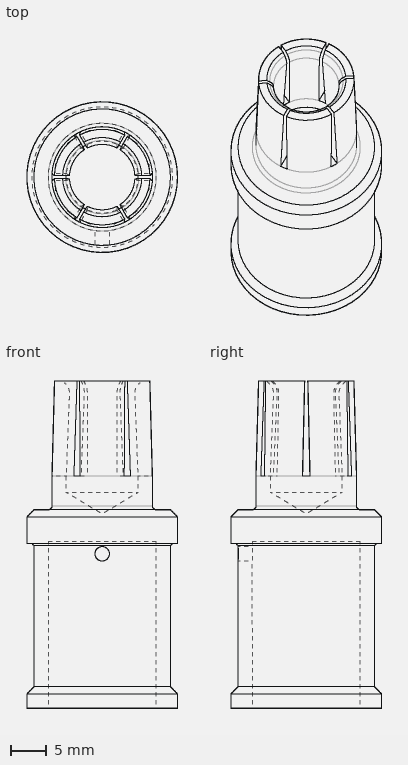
import cadquery as cq
import math

total_height = 45.5
chamfer = 1.0
base_rim_height = 2.0
collar_bottom = 22.9
shoulder_top = 27.6
slot_floor = 32.3

rim_radius = 10.49
body_radius = 9.5
stem_radius = 7.0
tip_radius = 6.65
root_fillet = 0.5
collar_relief = 0.27

socket_radius = 5.0
socket_floor = 30.05
drill_angle = 118.0
throat_radius = 4.55
throat_level = 43.8
lip_radius = 5.1
mouth_chamfer = 0.4

slot_count = 6
slot_width_tip = 0.4
slot_width_root = 1.0

wire_bore_radius = 7.5
wire_bore_depth = 23.2
inspection_diameter = 2.0
inspection_level = 21.48


def make_outside():
    """Turned body with a base rim, a collar and a tapered stem."""
    profile = (
        cq.Workplane("XZ")
        .lineTo(rim_radius, 0)
        .lineTo(rim_radius, base_rim_height)
        .lineTo(body_radius, base_rim_height + chamfer)
        .lineTo(body_radius, collar_bottom - collar_relief)
        .lineTo(body_radius + collar_relief, collar_bottom)
        .lineTo(rim_radius, collar_bottom)
        .lineTo(rim_radius, shoulder_top - chamfer)
        .lineTo(rim_radius - chamfer, shoulder_top)
        .lineTo(stem_radius + root_fillet, shoulder_top)
        .radiusArc((stem_radius, shoulder_top + root_fillet), root_fillet)
        .lineTo(stem_radius, slot_floor)
        .lineTo(tip_radius, total_height)
        .lineTo(0, total_height)
        .close()
    )
    return profile.revolve(360, (0, 0), (0, 1))


def make_socket():
    """Drilled socket that narrows to a rounded throat and flares at the mouth."""
    cone_depth = socket_radius / math.tan(math.radians(drill_angle / 2))
    lip_level = total_height - mouth_chamfer
    rise = lip_level - throat_level
    flare = lip_radius - throat_radius
    lip_arc_radius = (rise**2 + flare**2) / (2 * flare)
    profile = (
        cq.Workplane("XZ")
        .moveTo(0, socket_floor - cone_depth)
        .lineTo(socket_radius, socket_floor)
        .lineTo(socket_radius, slot_floor)
        .lineTo(throat_radius, throat_level)
        .radiusArc((lip_radius, lip_level), lip_arc_radius)
        .lineTo(lip_radius + mouth_chamfer, total_height)
        .lineTo(0, total_height)
        .close()
    )
    return profile.revolve(360, (0, 0), (0, 1))


def make_slot(angle):
    """Wedge across the full stem, so one wedge opens two opposite slots."""
    wedge = (
        cq.Workplane("YZ")
        .moveTo(-slot_width_root / 2, slot_floor)
        .lineTo(slot_width_root / 2, slot_floor)
        .lineTo(slot_width_tip / 2, total_height)
        .lineTo(-slot_width_tip / 2, total_height)
        .close()
        .extrude(rim_radius, both=True)
    )
    return wedge.rotate((0, 0, 0), (0, 0, 1), angle)


def make_inspection_hole():
    """Radial hole from the -Y side into the wire bore."""
    return (
        cq.Workplane("XZ")
        .center(0, inspection_level)
        .circle(inspection_diameter / 2)
        .extrude(rim_radius)
    )


result = make_outside().cut(make_socket())
for index in range(slot_count // 2):
    result = result.cut(make_slot(index * 360 / slot_count))
wire_bore = cq.Workplane("XY").circle(wire_bore_radius).extrude(wire_bore_depth)
result = result.cut(wire_bore).cut(make_inspection_hole())